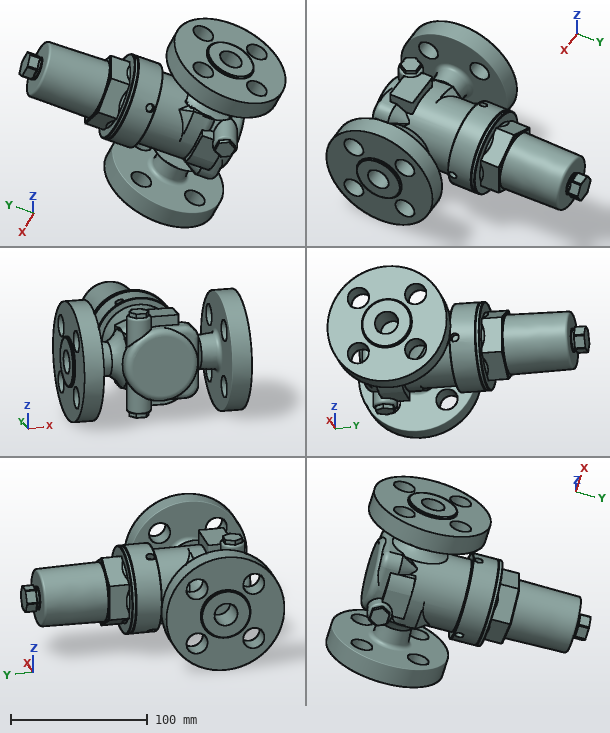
import cadquery as cq
import math


LENGTH = 130.0
FLANGE_D = 88.9
RAISED_FACE_D = 37.5
RAISED_FACE_H = 1.6
RAISED_FACE_CHAMFER = 0.9
FLANGE_T = 15.0
FLANGE_EDGE_FILLET = 0.5
BOLT_CIRCLE_D = 60.4
BOLT_HOLE_D = 15.9
BOLT_COUNT = 4
BORE_D = 17.3
BORE_DEPTH = 21.6
NECK_END_D = 26.7
NECK_D = 24.9
NECK_FILLET = 3.5
NECK_INNER_X = 33.9
INLET_FLARE = ((29.2, 15.9), (24.5, 22.3))
OUTLET_FLARE = ((30.6, 16.4), (27.8, 22.0))

TOTAL_Y = 180.2
TOP_Y = TOTAL_Y - FLANGE_D / 2
BODY_D = 55.0
BODY_FLOOR_Y = -29.2
BODY_FLOOR_FILLET = 4.9
COLLAR_D = 65.0
COLLAR_Y = 39.8
COLLAR_TOP_Y = 62.4
COLLAR_CHAMFER = 0.5
COLLAR_GROOVE_Y = 59.0
COLLAR_GROOVE_W = 0.7
COLLAR_GROOVE_DEPTH = 0.4
SPANNER_HOLE_D = 6.1
SPANNER_HOLE_Y = 44.0
SPANNER_HOLE_DEPTH = 5.4
SPANNER_HOLE_COUNT = 3
SPANNER_HOLE_ANGLE = 24.5
HEX_FLATS = 46.1
HEX_TOP_Y = 77.9
HEX_CHAMFER = 0.7
HEX_SEAT_D = 49.4
HEX_SEAT_H = 2.0
CAP_D = 44.0
CAP_TOP_D = 42.4
CAP_TOP_Y = 125.5
CAP_FILLET = 1.8
SPINDLE_D = 15.0
WASHER_D = 17.3
WASHER_H = 0.5
NUT_Y = 128.0
NUT_FLATS = 17.3
NUT_CORNER_D = 19.5

PAD_Z = BODY_D / 2
INLET_Y = (-6.3, 12.0, 22.5)
INLET_TAPER = 27.0
INLET_FILLET = 5.8
INLET_SIDE = (-25.2, 21.6)
INLET_CROWN_X = -0.9
INLET_CROWN_R = 57.7
OUTLET_Y = (-26.7, -12.5, 18.0)
OUTLET_TAPER = 31.0
OUTLET_FILLET = 4.5
OUTLET_SIDE = (28.5, 19.5)
OUTLET_CROWN_X = 19.0
OUTLET_CROWN_R = 10.8

BOSS_X = -15.0
BOSS_Y = -17.5
BOSS_D = 18.0
BOSS_Z = 36.2
BOSS_FILLET = 1.8
PLUG_FLATS = 13.0
PLUG_Z = 39.5
PLATE_X = (-15.3, 15.1)
PLATE_Y = (-18.2, 0.7)
PLATE_Z = 35.0
PLATE_FILLET = 1.3
LOWER_PAD_Z = 32.5
RUN_OUT_START_X = 4.5
RUN_OUT_MIDDLE = (10.0, -31.0)
RUN_OUT_END = (16.2, -27.4)


def cylinder_y(diameter, y_start, y_end):
    """Cylinder on the bonnet axis."""
    return (
        cq.Workplane("XZ", origin=(0, y_start, 0))
        .circle(diameter / 2)
        .extrude(y_start - y_end)
    )


def revolve_y(points):
    """Revolve (radius, y) points about the bonnet axis."""
    return cq.Workplane("XY").polyline(points).close().revolve(360, (0, 0), (0, 1))


def hexagon(flats, plane, height, turn=0):
    """Hexagonal prism given by its size across flats."""
    corner_d = flats / math.cos(math.radians(30))
    return plane.transformed(rotate=(0, 0, turn)).polygon(6, corner_d).extrude(height)


def both_ends(shape):
    """A shape on the -X side together with its mirror on the +X side."""
    return shape.union(shape.mirror("YZ"))


def above_and_below(shape):
    """A shape on the +Z side together with its mirror on the -Z side."""
    return shape.union(shape.mirror("XY"))


def pipe_end(flare):
    """Raised-face flange, neck and flared root on the -X side."""
    (flare_mid_x, flare_mid_r), (flare_end_x, flare_end_r) = flare
    face_x = -LENGTH / 2
    front_x = face_x + RAISED_FACE_H
    back_x = front_x + FLANGE_T
    raised_face = (
        cq.Workplane("YZ", origin=(face_x, 0, 0))
        .circle(RAISED_FACE_D / 2)
        .extrude(RAISED_FACE_H + FLANGE_T / 2)
        .faces("<X")
        .chamfer(RAISED_FACE_CHAMFER)
    )
    flange = (
        cq.Workplane("YZ", origin=(front_x, 0, 0))
        .circle(FLANGE_D / 2)
        .extrude(FLANGE_T)
        .faces(">X")
        .fillet(FLANGE_EDGE_FILLET)
    )
    neck_end_r = NECK_END_D / 2
    neck = (
        cq.Workplane("XY")
        .moveTo(back_x, 0)
        .lineTo(back_x, neck_end_r + NECK_FILLET)
        .radiusArc((back_x + NECK_FILLET, neck_end_r), -NECK_FILLET)
        .lineTo(-NECK_INNER_X, NECK_D / 2)
        .threePointArc((-flare_mid_x, flare_mid_r), (-flare_end_x, flare_end_r))
        .lineTo(-flare_end_x, 0)
        .close()
        .revolve(360, (0, 0), (1, 0))
    )
    return flange.union(raised_face).union(neck)


def pipe_end_holes():
    """Bolt holes and blind bore of the -X flange."""
    face = cq.Workplane("YZ", origin=(-LENGTH / 2, 0, 0))
    bore = face.circle(BORE_D / 2).extrude(BORE_DEPTH)
    bolts = (
        face.polarArray(BOLT_CIRCLE_D / 2, 360 / BOLT_COUNT / 2, 360, BOLT_COUNT)
        .circle(BOLT_HOLE_D / 2)
        .extrude(RAISED_FACE_H + FLANGE_T)
    )
    return bore.union(bolts)


def shoulder(y_range, taper, side, crown_x, crown_r):
    """Casting shoulder with a crowned outline, level with the body at the top and bottom.

    It is straight from y_range[0] to y_range[1] and then drawn in up to y_range[2].
    """
    bottom_y, straight_y, tip_y = y_range
    side_x, side_z = side

    def outline(y):
        return (
            cq.Workplane("XZ", origin=(0, y, 0))
            .moveTo(0, -PAD_Z)
            .lineTo(crown_x, -PAD_Z)
            .radiusArc((side_x, -side_z), math.copysign(crown_r, -side_x))
            .lineTo(side_x, side_z)
            .radiusArc((crown_x, PAD_Z), math.copysign(crown_r, -side_x))
            .lineTo(0, PAD_Z)
            .close()
        )

    straight = outline(bottom_y).extrude(bottom_y - straight_y)
    drawn_in = outline(straight_y).extrude(straight_y - tip_y, taper=taper)
    return straight.union(drawn_in)


def inlet_shoulder():
    """Shoulder on the -X side with its lower edge rounded off."""
    block = shoulder(INLET_Y, INLET_TAPER, INLET_SIDE, INLET_CROWN_X, INLET_CROWN_R)
    return block.faces("<Y").edges("<X or %CIRCLE").fillet(INLET_FILLET)


def outlet_shoulder():
    """Shoulder on the +X side, reaching almost down to the body floor."""
    block = shoulder(OUTLET_Y, OUTLET_TAPER, OUTLET_SIDE, OUTLET_CROWN_X, OUTLET_CROWN_R)
    return block.faces("<Y").edges(">X or %CIRCLE").fillet(OUTLET_FILLET)


def body():
    """Round valve body with a rounded floor edge."""
    return cylinder_y(BODY_D, BODY_FLOOR_Y, COLLAR_Y).faces("<Y").fillet(BODY_FLOOR_FILLET)


def collar():
    """Union nut with a fine groove and radial spanner holes."""
    ring = cylinder_y(COLLAR_D, COLLAR_Y, COLLAR_TOP_Y).faces("<Y or >Y").chamfer(COLLAR_CHAMFER)
    groove_top_y = COLLAR_GROOVE_Y + COLLAR_GROOVE_W
    groove = cylinder_y(COLLAR_D, COLLAR_GROOVE_Y, groove_top_y).cut(
        cylinder_y(COLLAR_D - 2 * COLLAR_GROOVE_DEPTH, COLLAR_GROOVE_Y, groove_top_y)
    )
    ring = ring.cut(groove)
    hole = (
        cq.Workplane("XY", origin=(0, SPANNER_HOLE_Y, COLLAR_D / 2 - SPANNER_HOLE_DEPTH))
        .circle(SPANNER_HOLE_D / 2)
        .extrude(2 * SPANNER_HOLE_DEPTH)
    )
    for i in range(SPANNER_HOLE_COUNT):
        angle = SPANNER_HOLE_ANGLE + i * 360 / SPANNER_HOLE_COUNT
        ring = ring.cut(hole.rotate((0, 0, 0), (0, 1, 0), -angle))
    return ring


def bonnet():
    """Hexagon on a conical seat, tapered cap, spindle and top nut."""
    hex_plane = cq.Workplane("XZ", origin=(0, COLLAR_TOP_Y, 0))
    hexagon_part = hexagon(HEX_FLATS, hex_plane, COLLAR_TOP_Y - HEX_TOP_Y, turn=30)
    hexagon_part = hexagon_part.faces(">Y").chamfer(HEX_CHAMFER)
    seat = revolve_y([
        (0, COLLAR_TOP_Y),
        (HEX_SEAT_D / 2, COLLAR_TOP_Y),
        (HEX_FLATS / 2, COLLAR_TOP_Y + HEX_SEAT_H),
        (0, COLLAR_TOP_Y + HEX_SEAT_H),
    ])
    cap = revolve_y([
        (0, HEX_TOP_Y),
        (CAP_D / 2, HEX_TOP_Y),
        (CAP_TOP_D / 2, CAP_TOP_Y),
        (0, CAP_TOP_Y),
    ])
    cap = cap.faces(">Y").fillet(CAP_FILLET)
    spindle = cylinder_y(SPINDLE_D, CAP_TOP_Y, NUT_Y)
    washer = cylinder_y(WASHER_D, CAP_TOP_Y, CAP_TOP_Y + WASHER_H)
    nut = hexagon(NUT_FLATS, cq.Workplane("XZ", origin=(0, NUT_Y, 0)), NUT_Y - TOP_Y)
    nut = nut.intersect(cylinder_y(NUT_CORNER_D, NUT_Y, TOP_Y))
    return hexagon_part.union(seat).union(cap).union(spindle).union(washer).union(nut)


def gauge_boss():
    """Upper gauge boss closed by a hexagon plug."""
    boss = (
        cq.Workplane("XY", origin=(BOSS_X, BOSS_Y, 0))
        .circle(BOSS_D / 2)
        .extrude(BOSS_Z)
        .faces(">Z")
        .fillet(BOSS_FILLET)
    )
    plug = hexagon(PLUG_FLATS, cq.Workplane("XY", origin=(BOSS_X, BOSS_Y, BOSS_Z)), PLUG_Z - BOSS_Z)
    return boss.union(plug)


def plate_block():
    """Rectangular name plate block on the upper side."""
    return (
        cq.Workplane("XY")
        .moveTo(PLATE_X[0], PLATE_Y[0])
        .lineTo(PLATE_X[1], PLATE_Y[0])
        .lineTo(PLATE_X[1], PLATE_Y[1])
        .lineTo(PLATE_X[0], PLATE_Y[1])
        .close()
        .extrude(PLATE_Z)
        .edges("|Z")
        .fillet(PLATE_FILLET)
    )


def lower_pad():
    """Low pad on the underside, running out toward the outlet in a curve."""
    return (
        cq.Workplane("XZ", origin=(0, PLATE_Y[1], 0))
        .moveTo(BOSS_X, 0)
        .lineTo(BOSS_X, -LOWER_PAD_Z)
        .lineTo(RUN_OUT_START_X, -LOWER_PAD_Z)
        .threePointArc(RUN_OUT_MIDDLE, RUN_OUT_END)
        .lineTo(RUN_OUT_END[0], 0)
        .close()
        .extrude(PLATE_Y[1] - PLATE_Y[0])
    )


result = body()
for feature in (
    pipe_end(INLET_FLARE),
    pipe_end(OUTLET_FLARE).mirror("YZ"),
    inlet_shoulder(),
    outlet_shoulder(),
    collar(),
    bonnet(),
    above_and_below(gauge_boss()),
    plate_block(),
    lower_pad(),
):
    result = result.union(feature)
result = result.cut(both_ends(pipe_end_holes()))